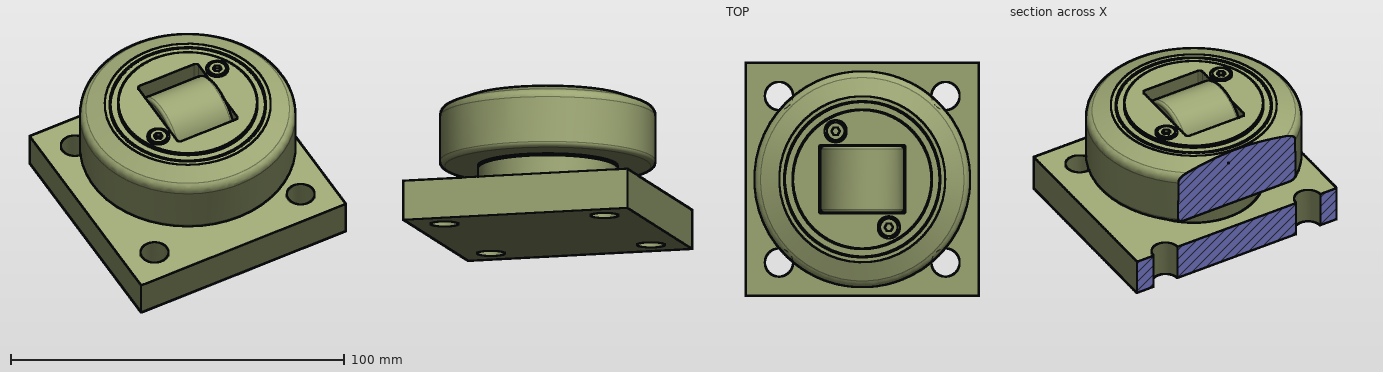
import cadquery as cq
plate_side = 70
plate_height = 12.0
mount_hole_d = 8.4
mount_hole_spacing = 50.0

neck_d = 42.1
neck_chamfer = 0.5
neck_top = 20.7
lip_bottom = 20.6

roller_d = 64.8
roller_bottom = 20.85
roller_top = 40.8
roller_bottom_fillet = 1.5
top_face_d = 49.85
shoulder_edge_z = 38.0
shoulder_fillet = 2.9
seal_groove_outer_d = 47.0
seal_groove_inner_d = 46.35
seal_groove_depth = 0.5

disc_d = 42
disc_top = 41.5
disc_chamfer = 0.245

overall_height = 43.95
cross_roller_d = 25.0
cross_roller_length = 20.0
cross_roller_fillet = 1.0
axle_d = 8.4
pocket_clearance = 0.5
pocket_length = cross_roller_d + 2 * pocket_clearance
pocket_width = cross_roller_length + pocket_clearance
pocket_corner_radius = 1.0
cross_roller_axis_z = overall_height - cross_roller_d / 2

screw_x = 8.0
screw_y = 14.4
screw_positions = [(-screw_x, screw_y), (screw_x, -screw_y)]
screw_head_d = 5.3
screw_head_top = 41.8
countersink_d = 6.65
countersink_depth = (countersink_d - screw_head_d) / 2
socket_corner_d = 2.5
socket_depth = 1.4


def cylinder(diameter, bottom, top):
    """Vertical cylinder on the main axis."""
    return cq.Workplane("XY").workplane(offset=bottom).circle(diameter / 2).extrude(top - bottom)


def make_plate():
    plate = cq.Workplane("XY").box(plate_side, plate_side, plate_height, centered=(True, True, False))
    return (
        plate.faces(">Z")
        .workplane()
        .rect(mount_hole_spacing, mount_hole_spacing, forConstruction=True)
        .vertices()
        .hole(mount_hole_d)
    )


def make_neck():
    neck = cylinder(neck_d, plate_height, neck_top).faces("<Z or >Z").edges().chamfer(neck_chamfer)
    lip = cylinder(neck_d, lip_bottom, roller_bottom)
    return neck.union(lip)


def make_main_roller():
    """Revolved body with a conical shoulder, rounded edges and a thin seal groove."""
    roller = (
        cq.Workplane("XZ")
        .moveTo(0, roller_bottom)
        .lineTo(roller_d / 2, roller_bottom)
        .lineTo(roller_d / 2, shoulder_edge_z)
        .lineTo(top_face_d / 2, roller_top)
        .lineTo(0, roller_top)
        .close()
        .revolve(360, (0, 0, 0), (0, 1, 0))
    )
    roller = roller.faces("<Z").edges().fillet(roller_bottom_fillet)
    shoulder_edge = cq.selectors.NearestToPointSelector((0, 0, shoulder_edge_z))
    roller = roller.edges("%CIRCLE").edges(shoulder_edge).fillet(shoulder_fillet)
    seal_groove = (
        cq.Workplane("XY")
        .workplane(offset=roller_top)
        .circle(seal_groove_outer_d / 2)
        .circle(seal_groove_inner_d / 2)
        .extrude(-seal_groove_depth)
    )
    return roller.cut(seal_groove)


def make_cover_disc():
    return cylinder(disc_d, roller_top, disc_top).faces(">Z").edges().chamfer(disc_chamfer)


def cylinder_along_y(diameter, length):
    """Cylinder on the cross roller axis, centred on the main axis."""
    return (
        cq.Workplane("XZ")
        .workplane(offset=-length / 2)
        .center(0, cross_roller_axis_z)
        .circle(diameter / 2)
        .extrude(length)
    )


def make_pocket():
    """Rectangular opening that ends in a half-round trough around the cross roller."""
    opening = (
        cq.Workplane("XY")
        .workplane(offset=cross_roller_axis_z)
        .rect(pocket_length, pocket_width)
        .extrude(disc_top - cross_roller_axis_z)
        .edges("|Z")
        .fillet(pocket_corner_radius)
    )
    return opening.union(cylinder_along_y(pocket_length, pocket_width))


def make_cross_roller():
    """Rounded roller standing proud of the cover disc, with the axle that carries it."""
    roller = cylinder_along_y(cross_roller_d, cross_roller_length)
    roller = roller.faces("<Y or >Y").edges().fillet(cross_roller_fillet)
    return roller.union(cylinder_along_y(axle_d, pocket_width))


def add_screws(body):
    """Countersinks holding raised screw heads with hexagon sockets."""
    countersinks = (
        cq.Workplane("XY")
        .workplane(offset=disc_top)
        .pushPoints(screw_positions)
        .circle(countersink_d / 2)
        .extrude(-countersink_depth, taper=45)
    )
    heads = (
        cq.Workplane("XY")
        .workplane(offset=disc_top - countersink_depth)
        .pushPoints(screw_positions)
        .circle(screw_head_d / 2)
        .extrude(screw_head_top - disc_top + countersink_depth)
    )
    sockets = (
        cq.Workplane("XY")
        .workplane(offset=screw_head_top)
        .pushPoints(screw_positions)
        .polygon(6, socket_corner_d)
        .extrude(-socket_depth)
    )
    return body.cut(countersinks).union(heads).cut(sockets)


body = make_plate().union(make_neck()).union(make_main_roller()).union(make_cover_disc())
body = add_screws(body)
result = body.cut(make_pocket()).union(make_cross_roller())